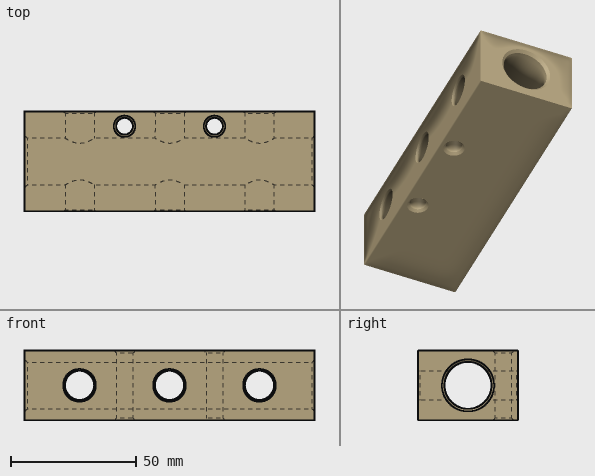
import cadquery as cq

length = 116.0
width = 40.0
height = 28.0
edge_fillet = 0.5

bore_diameter = 18.7
bore_mouth_diameter = 20.9

port_count = 3
port_pitch = 36.0
port_diameter = 11.6
port_mouth_diameter = 13.1

mount_count = port_count - 1
mount_diameter = 6.6
mount_mouth_diameter = 8.6
mount_offset = 14.0


def countersunk_bore(diameter, mouth_diameter, depth):
    """Cutter along Z, centred on the origin, with a 45 degree countersink at each end."""
    sink = (mouth_diameter - diameter) / 2
    return (
        cq.Workplane("XZ")
        .moveTo(0, -depth / 2)
        .lineTo(mouth_diameter / 2, -depth / 2)
        .lineTo(diameter / 2, -depth / 2 + sink)
        .lineTo(diameter / 2, depth / 2 - sink)
        .lineTo(mouth_diameter / 2, depth / 2)
        .lineTo(0, depth / 2)
        .close()
        .revolve(360, (0, 0, 0), (0, 1, 0))
    )


def row_positions(count):
    """X positions of a row of holes centred on the block."""
    return [(i - (count - 1) / 2) * port_pitch for i in range(count)]


result = cq.Workplane("XY").box(length, width, height).edges("|X").fillet(edge_fillet)

main_bore = countersunk_bore(bore_diameter, bore_mouth_diameter, length)
result = result.cut(main_bore.rotate((0, 0, 0), (0, 1, 0), 90))

port = countersunk_bore(port_diameter, port_mouth_diameter, width).rotate((0, 0, 0), (1, 0, 0), 90)
for x in row_positions(port_count):
    result = result.cut(port.translate((x, 0, 0)))

mount_hole = countersunk_bore(mount_diameter, mount_mouth_diameter, height)
for x in row_positions(mount_count):
    result = result.cut(mount_hole.translate((x, mount_offset, 0)))